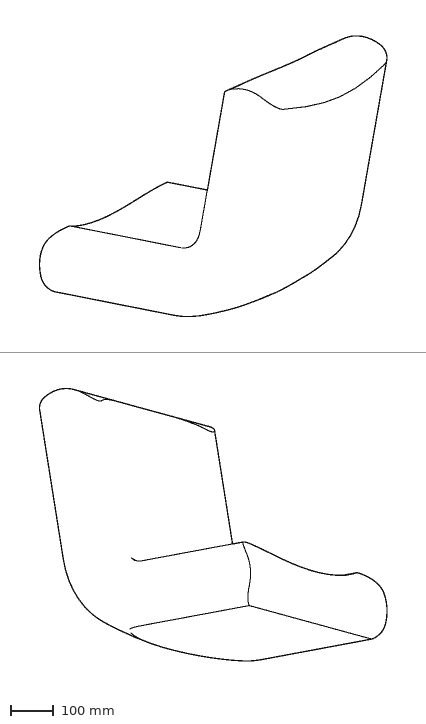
import cadquery as cq
import math

width = 500.0
side_bottom = 39.5
side_top = 115.0
edge_radius = 44.0
dish_bottom = 120.0
crown_bottom = -21.0

bend_x = 355.0
bend_z = 234.5
bend_angle = 79.0

seat_end_radius = 106.0
seat_end_z = 68.5
back_end_radius = 107.5
back_end_x = 572.5
back_end_z = 487.0

margin = 269.0
half_width = width / 2
edge_y = half_width - edge_radius
back_length = back_end_z - bend_z + margin


def cushion_section(plane):
    """Closed section with a hollow top and a bulged underside, tangent to the rounded edges."""
    dish_drop = dish_bottom - side_top
    dish_radius = (edge_y**2 + dish_drop**2 - edge_radius**2) / (2 * (edge_radius - dish_drop))
    dish_fraction = edge_radius / (dish_radius + edge_radius)
    dish_y = edge_y * (1 - dish_fraction)
    dish_z = side_top + (dish_bottom + dish_radius - side_top) * dish_fraction

    crown_depth = side_bottom - crown_bottom
    crown_radius = (edge_y**2 + crown_depth**2 - edge_radius**2) / (2 * (crown_depth - edge_radius))
    crown_fraction = edge_radius / (crown_radius - edge_radius)
    crown_y = edge_y * (1 + crown_fraction)
    crown_z = side_bottom - (crown_bottom + crown_radius - side_bottom) * crown_fraction

    crest_z = side_top + edge_radius
    diagonal = edge_radius * math.sqrt(0.5)
    corner_y = edge_y + diagonal
    corner_z = side_bottom - diagonal
    return (
        cq.Workplane(plane)
        .moveTo(half_width, side_bottom)
        .lineTo(half_width, side_top)
        .threePointArc((edge_y, crest_z), (dish_y, dish_z))
        .threePointArc((0, dish_bottom), (-dish_y, dish_z))
        .threePointArc((-edge_y, crest_z), (-half_width, side_top))
        .lineTo(-half_width, side_bottom)
        .threePointArc((-corner_y, corner_z), (-crown_y, crown_z))
        .threePointArc((0, crown_bottom), (crown_y, crown_z))
        .threePointArc((corner_y, corner_z), (half_width, side_bottom))
        .close()
    )


def end_trimmer(center_x, center_z, radius, turn):
    """Tool leaving a cylindrical end; it points along +X turned upwards by `turn` degrees."""
    reach = radius + margin
    tool = (
        cq.Workplane("XZ")
        .moveTo(0, radius)
        .threePointArc((radius * math.sqrt(0.5), radius * math.sqrt(0.5)), (radius, 0))
        .threePointArc((radius * math.sqrt(0.5), -radius * math.sqrt(0.5)), (0, -radius))
        .lineTo(0, -reach)
        .lineTo(reach, -reach)
        .lineTo(reach, reach)
        .lineTo(0, reach)
        .close()
        .extrude(width, both=True)
    )
    return tool.rotate((0, 0, 0), (0, 1, 0), -turn).translate((center_x, 0, center_z))


bend_plane = cq.Plane(origin=(bend_x, 0, 0), xDir=(0, 1, 0), normal=(1, 0, 0))
seat = cushion_section(bend_plane).extrude(-(bend_x + margin))
bend = cushion_section(bend_plane).revolve(bend_angle, (7, bend_z), (0, bend_z))
back = (
    cushion_section(bend_plane)
    .extrude(back_length)
    .rotate((bend_x, 0, bend_z), (bend_x, 1, bend_z), -bend_angle)
)

seat = seat.cut(end_trimmer(seat_end_radius, seat_end_z, seat_end_radius, 180))
back = back.cut(end_trimmer(back_end_x, back_end_z, back_end_radius, bend_angle))

underside = cq.Workplane("XY").box(4 * width, 2 * width, margin, centered=(True, True, False))
underside = underside.translate((0, 0, -margin))

result = seat.union(bend).union(back).cut(underside)